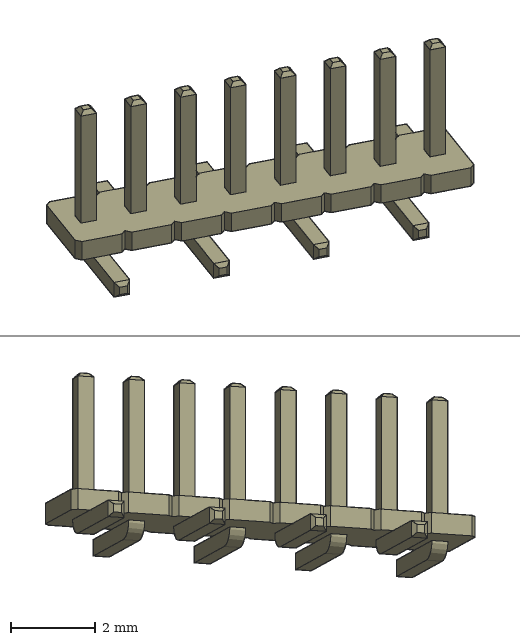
import cadquery as cq


pin_count = 8
pitch = 1.27
body_width = 2.1
body_height = 0.5
corner_chamfer = 0.127
pin_size = 0.4
pin_height_above_body = 3.0
leg_span = 4.9
tip_chamfer = 0.1

leg_reach = leg_span / 2
body_bottom = pin_size
body_top = body_bottom + body_height
post_top = body_top + pin_height_above_body
bend_radius = pin_size
half_pin = pin_size / 2
tip_size = pin_size - 2 * tip_chamfer


def pin_y(index):
    """Y position of a pin, counted from the -Y end of the row."""
    return (index - (pin_count - 1) / 2) * pitch


def make_body_segment(y):
    """One pitch of the insulator; the chamfers of neighbours form V notches."""
    return (
        cq.Workplane("XY", origin=(0, y, body_bottom))
        .rect(body_width, pitch)
        .extrude(body_height)
        .edges("|Z")
        .chamfer(corner_chamfer)
    )


def make_tip(base_plane):
    """Square pyramid frustum that ends a pin."""
    return (
        cq.Workplane(base_plane)
        .rect(pin_size, pin_size)
        .workplane(offset=tip_chamfer)
        .rect(tip_size, tip_size)
        .loft()
    )


def make_pin():
    """Pin at the origin with its leg towards +X and a rounded outer bend."""
    post_shoulder = post_top - tip_chamfer
    leg_shoulder = leg_reach - tip_chamfer
    bend_end_x = bend_radius - half_pin

    bar = (
        cq.Workplane("XZ")
        .moveTo(-half_pin, post_shoulder)
        .lineTo(-half_pin, bend_radius)
        .radiusArc((bend_end_x, 0), -bend_radius)
        .lineTo(leg_shoulder, 0)
        .lineTo(leg_shoulder, pin_size)
        .lineTo(half_pin, pin_size)
        .lineTo(half_pin, post_shoulder)
        .close()
        .extrude(half_pin, both=True)
    )
    post_plane = cq.Plane(origin=(0, 0, post_shoulder))
    leg_plane = cq.Plane(origin=(leg_shoulder, 0, half_pin), xDir=(0, 1, 0), normal=(1, 0, 0))
    post_tip = make_tip(post_plane)
    leg_tip = make_tip(leg_plane)
    return bar.union(post_tip).union(leg_tip)


def make_header():
    """Insulator strip with all pins; the first leg points towards +X."""
    pin_right = make_pin()
    pin_left = pin_right.rotate((0, 0, 0), (0, 0, 1), 180)

    header = make_body_segment(pin_y(0))
    for index in range(1, pin_count):
        header = header.union(make_body_segment(pin_y(index)))
    for index in range(pin_count):
        pin = pin_right if index % 2 == 0 else pin_left
        header = header.union(pin.translate((0, pin_y(index), 0)))
    return header.clean()


result = make_header()